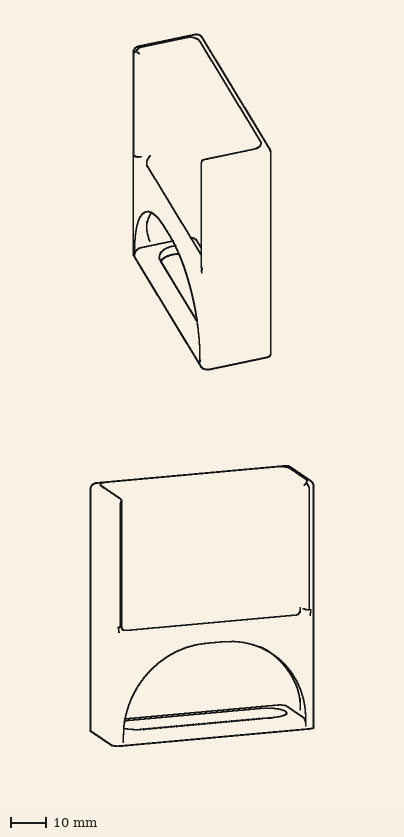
import cadquery as cq

width = 61.5
depth = 21.0
height = 73.0
wall = 3.0
edge_round = 2.0

inner_width = width - 2 * wall
inner_depth = depth - 2 * wall
front_face = -depth / 2

sill_height = 33.15
arch_top = 28.0
arch_radius = arch_top - wall
opening_corner_top = sill_height + edge_round

slot_length = 50.7
slot_width = 11.0

front_cut_depth = wall + edge_round

rim_flat = wall - edge_round
crest_rise = edge_round - (edge_round**2 - (edge_round - rim_flat) ** 2) ** 0.5

margin = 7.3

pick = 0.7


def front_plane(y=front_face):
    return cq.Workplane("XZ", origin=(0, y, 0))


def make_pocket(bottom):
    pocket = cq.Workplane("XY", origin=(0, 0, bottom)).rect(inner_width, inner_depth)
    return pocket.extrude(height).edges("|Z").fillet(edge_round)


def make_front_opening():
    """Opening above the sill, with rounded lower corners."""
    outline = front_plane(front_face - margin)
    outline = outline.center(0, sill_height + height / 2).rect(inner_width, height)
    opening = outline.extrude(-(front_cut_depth + margin))
    return opening.edges("|Y and <Z").fillet(edge_round)


def make_shell():
    """Open box with the front opening and all its outer edges but the bottom ones rounded."""
    block = cq.Workplane("XY").box(width, depth, height, centered=(True, True, False))
    block = block.edges("|Z").fillet(edge_round).faces(">Z").edges().fillet(edge_round)
    return block.cut(make_pocket(wall)).cut(make_front_opening())


def make_oversize_block(front, bottom, top):
    """Block wider than the holder, reaching from the given front face past its back."""
    block_depth = depth / 2 + margin - front
    block = cq.Workplane("XY", origin=(0, front + block_depth / 2, bottom))
    return block.box(width + 2 * margin, block_depth, top - bottom, centered=(True, True, False))


def make_sill_body():
    """Lower part of the holder's envelope, with the sill and its corners rounded."""
    body = make_oversize_block(front_face, 0, height).cut(make_front_opening())
    inner = cq.selectors.BoxSelector(
        (-inner_width / 2 - pick, front_face - pick, sill_height - pick),
        (inner_width / 2 + pick, front_face + pick, height - pick),
    )
    body = body.edges(inner).fillet(edge_round)
    return body.intersect(make_oversize_block(front_face, 0, opening_corner_top))


def make_rim_body():
    """Upper part of the envelope, with the inner edges of the rim and opening rounded."""
    front = front_face - crest_rise
    top = height + crest_rise
    body = make_oversize_block(front, opening_corner_top, top)
    body = body.cut(make_pocket(wall)).cut(make_front_opening())
    inner = cq.selectors.BoxSelector(
        (-inner_width / 2 - pick, front - pick, opening_corner_top + pick),
        (inner_width / 2 + pick, inner_depth / 2 + pick, top + pick),
    )
    rim = body.faces(">Z or <Y").edges(inner)
    return rim.fillet(edge_round)


def make_finger_cutout():
    """Arch of two quarter circles joined by a short flat top, with a rounded lower edge."""
    half_width = inner_width / 2
    flat_half = half_width - arch_radius
    diagonal = arch_radius * 0.5**0.5
    arch = (
        front_plane()
        .moveTo(-half_width, wall)
        .threePointArc((-flat_half - diagonal, wall + diagonal), (-flat_half, arch_top))
        .lineTo(flat_half, arch_top)
        .threePointArc((flat_half + diagonal, wall + diagonal), (half_width, wall))
        .close()
        .extrude(-front_cut_depth)
    )
    lower_edge = (
        cq.Workplane("YZ", origin=(-half_width, 0, 0))
        .moveTo(front_face, wall)
        .lineTo(front_face, wall - edge_round)
        .radiusArc((front_face + edge_round, wall), edge_round)
        .close()
        .extrude(inner_width)
    )
    return arch.union(lower_edge)


def make_slot():
    return cq.Workplane("XY").slot2D(slot_length, slot_width).extrude(wall)


shell = make_shell()
lower = shell.intersect(make_sill_body())
upper = shell.intersect(make_rim_body())
result = lower.union(upper).cut(make_finger_cutout()).cut(make_slot())